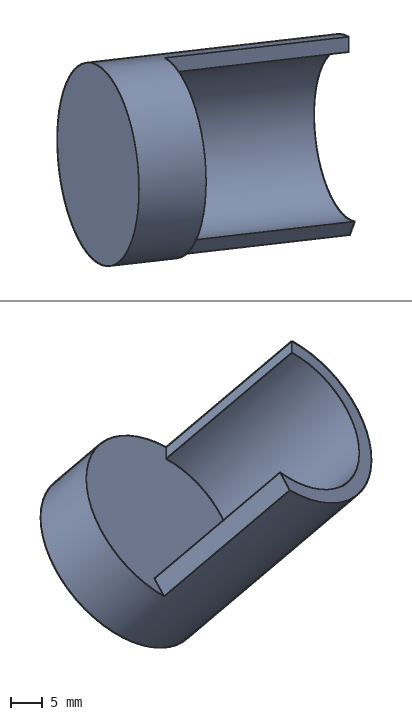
import cadquery as cq
import math

outer_diameter = 32.2
wall = 2.5
length = 43.0
head_length = 11.5

lip_outer_x = 0.4
lip_inner_x = 2.36

outer_radius = outer_diameter / 2
inner_radius = outer_radius - wall
tube_length = length - head_length


def height_below_axis(radius, x):
    """Z of the lower point at offset x on a circle of the given radius."""
    return -math.sqrt(radius**2 - x**2)


def extrude_behind_head(sketch):
    return sketch.extrude(-tube_length).translate((0, head_length, 0))


def round_body():
    return cq.Workplane("XZ").circle(outer_radius).extrude(-length)


def bore():
    """Bore of the tube, ending at the back face of the head."""
    return extrude_behind_head(cq.Workplane("XZ").circle(inner_radius))


def open_side():
    """Cutter removing the +X side of the tube and shaping both edges of its wall."""
    lip_inner_z = height_below_axis(inner_radius, lip_inner_x)
    lip_outer_z = height_below_axis(outer_radius, lip_outer_x)
    outline = [
        (0, outer_radius),
        (0, 0),
        (lip_inner_x, 0),
        (lip_inner_x, lip_inner_z),
        (lip_outer_x, lip_outer_z),
        (lip_outer_x, -outer_diameter),
        (outer_diameter, -outer_diameter),
        (outer_diameter, outer_radius),
    ]
    return extrude_behind_head(cq.Workplane("XZ").polyline(outline).close())


result = round_body().cut(bore()).cut(open_side())